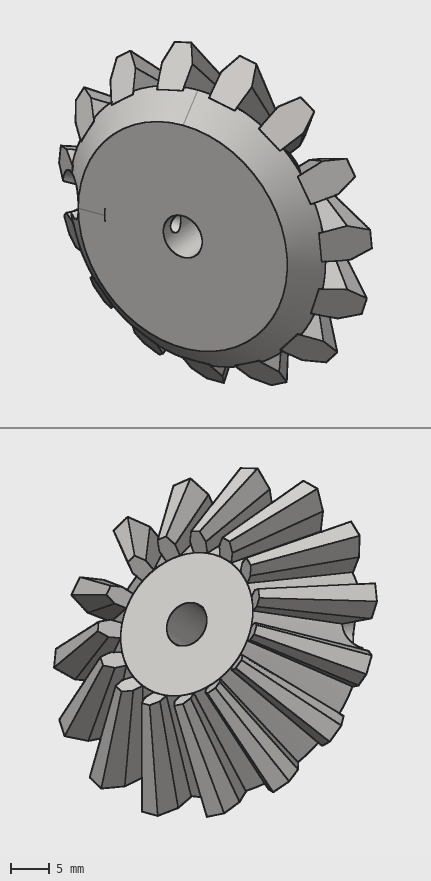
import cadquery as cq


face_radius = 16.2
rim_depth = 3.65
bore_diameter = 6.0

tooth_count = 15
tooth_tip_radius = 24.25
tooth_root_radius = 19.4
tooth_widest_radius = 22.1
root_half_width = 2.05
widest_half_width = 2.4
tip_half_width = 1.3
apex_depth = 27.92
small_end_scale = 0.5
first_tooth_angle = -90.0

counterbore_diameter = 6.0
cross_hole_diameter = 2.5
counterbore_floor_x = -12.1
cross_hole_y = counterbore_diameter / 2


def towards_apex(radius, depth, scale):
    """Shrink a (radius, depth) position towards the cone apex."""
    return radius * scale, apex_depth + (depth - apex_depth) * scale


def make_body():
    """Revolved blank: back cone, root cone and flat front face."""
    rim_radius = face_radius + rim_depth
    front_radius, front_depth = towards_apex(rim_radius, rim_depth, small_end_scale)
    outline = [
        (0, 0),
        (face_radius, 0),
        (rim_radius, rim_depth),
        (front_radius, front_depth),
        (0, front_depth),
    ]
    return cq.Workplane("ZY").polyline(outline).close().revolve(360, (0, 0), (0, 1))


def tooth_section(scale):
    """Six-sided tooth outline in the 45 degree plane of the back cone, for a tooth along +X."""
    half_outline = [
        (tooth_root_radius, root_half_width),
        (tooth_widest_radius, widest_half_width),
        (tooth_tip_radius, tip_half_width),
    ]
    upper = []
    lower = []
    for radius, half_width in half_outline:
        x, y = towards_apex(radius, radius - face_radius, scale)
        upper.append(cq.Vector(x, y, half_width * scale))
        lower.append(cq.Vector(x, y, -half_width * scale))
    return cq.Wire.makePolygon(upper + lower[::-1], close=True)


def make_tooth():
    """Tooth that tapers from the large end to the small end."""
    sections = [tooth_section(1.0), tooth_section(small_end_scale)]
    return cq.Workplane(cq.Solid.makeLoft(sections, True))


def make_cross_hole():
    """Counterbore from outside, then a smaller hole that meets the central bore."""
    start = cq.Workplane("YZ", origin=(counterbore_floor_x, cross_hole_y, 0))
    counterbore = start.circle(counterbore_diameter / 2).extrude(-tooth_tip_radius)
    hole = start.circle(cross_hole_diameter / 2).extrude(-counterbore_floor_x)
    return counterbore.union(hole)


gear = make_body()
tooth = make_tooth()
for index in range(tooth_count):
    angle = first_tooth_angle + index * 360 / tooth_count
    gear = gear.union(tooth.rotate((0, 0, 0), (0, 1, 0), -angle))

bore = cq.Workplane("XZ").circle(bore_diameter / 2).extrude(-apex_depth)
result = gear.cut(bore).cut(make_cross_hole())